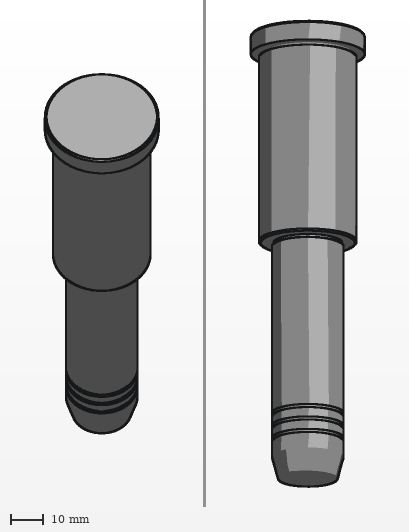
import cadquery as cq
import math

total_length = 141.0
head_diameter = 35.0
head_height = 6.0
body_diameter = 30.0
body_length = 59.9
stem_diameter = 22.0
edge_chamfer = 0.5

tip_length = 7.0
tip_half_angle = 15.0
tip_rounding = 0.5

head_relief_radius = 0.5
body_relief_width = 1.0
body_relief_depth = 0.4

groove_count = 3
groove_pitch = 4.0
groove_radius = 0.5
lowest_groove_center = 12.5

head_bottom = total_length - head_height
body_bottom = head_bottom - body_length
tip_radius = stem_diameter / 2 - tip_length * math.tan(math.radians(tip_half_angle))


def cylinder(diameter, bottom, height):
    return cq.Workplane("XY").workplane(offset=bottom).circle(diameter / 2).extrude(height)


def square_groove(diameter, depth, bottom, width):
    """Annular cutter that removes the given depth from a cylinder's surface."""
    outer = cylinder(diameter + 2 * depth, bottom, width)
    return outer.cut(cylinder(diameter - 2 * depth, bottom, width))


def round_groove(diameter, radius, center):
    """Ring cutter of circular section, centered on a cylinder's surface."""
    section = cq.Workplane("XZ").center(diameter / 2, center).circle(radius)
    return section.revolve(360, (-diameter / 2, 0, 0), (-diameter / 2, 1, 0))


def make_tip():
    tip = (
        cq.Workplane("XZ")
        .polyline([(0, 0), (tip_radius, 0), (stem_diameter / 2, tip_length), (0, tip_length)])
        .close()
        .revolve(360, (0, 0, 0), (0, 1, 0))
    )
    return tip.faces("<Z").edges().fillet(tip_rounding)


head = cylinder(head_diameter, head_bottom, head_height).faces(">Z").edges().chamfer(edge_chamfer)
body = cylinder(body_diameter, body_bottom, body_length).faces("<Z").edges().chamfer(edge_chamfer)
stem = cylinder(stem_diameter, tip_length, body_bottom - tip_length)
result = head.union(body).union(stem).union(make_tip())

result = result.cut(round_groove(body_diameter, head_relief_radius, head_bottom - head_relief_radius))
result = result.cut(
    square_groove(stem_diameter, body_relief_depth, body_bottom - body_relief_width, body_relief_width)
)

for index in range(groove_count):
    groove_center = lowest_groove_center + index * groove_pitch
    result = result.cut(round_groove(stem_diameter, groove_radius, groove_center))